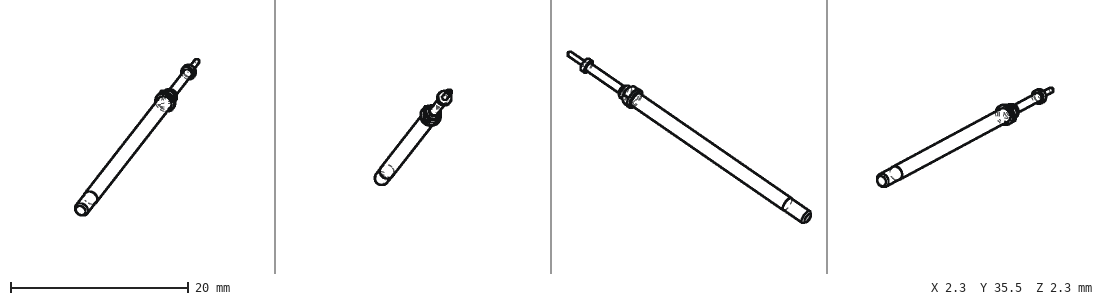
import cadquery as cq

total_length = 35.5
tip_collar_start = 2.5
tip_collar_end = 3.0
neck_end = 8.0
shoulder_start = 8.3
square_start = 8.7
stop_ring_start = 9.65
stop_ring_end = 10.0
tail_start = 32.5

tip_diameter = 0.6
tip_collar_diameter = 1.6
neck_diameter = 1.0
shank_diameter = 1.67
stop_ring_diameter = 2.3
tail_diameter = 1.6
shoulder_nose_diameter = 1.25

square_width = 1.67
square_chamfer_length = 0.3
tip_chamfer = 0.18
tail_taper_length = 0.25
tail_taper_depth = 0.2


def cylinder(start, end, diameter):
    """Round section between two stations measured from the tip."""
    section = cq.Workplane("XZ").circle(diameter / 2).extrude(end - start)
    return section.translate((0, total_length / 2 - start, 0))


def cone(start, end, start_diameter, end_diameter):
    """Tapered section between two stations measured from the tip."""
    solid = cq.Solid.makeCone(
        start_diameter / 2,
        end_diameter / 2,
        end - start,
        pnt=cq.Vector(0, total_length / 2 - start, 0),
        dir=cq.Vector(0, -1, 0),
    )
    return cq.Workplane(obj=solid)


def square_section():
    """Four wrench flats whose corners are turned to the stop ring diameter and coned at the front."""
    length = stop_ring_start - square_start
    block = cq.Workplane("XZ").rect(square_width, square_width).extrude(length)
    block = block.translate((0, total_length / 2 - square_start, 0))
    cone_end = square_start + square_chamfer_length
    envelope = cone(square_start, cone_end, shank_diameter, stop_ring_diameter)
    envelope = envelope.union(cylinder(cone_end, stop_ring_start, stop_ring_diameter))
    return block.intersect(envelope)


tip = cylinder(0, tip_collar_start, tip_diameter).faces(">Y").chamfer(tip_chamfer)
tip_collar = cylinder(tip_collar_start, tip_collar_end, tip_collar_diameter)
neck = cylinder(tip_collar_end, neck_end, neck_diameter)

shoulder_cone = cone(neck_end, shoulder_start, shoulder_nose_diameter, shank_diameter)
shoulder = cylinder(shoulder_start, square_start, shank_diameter)
stop_ring = cylinder(stop_ring_start, stop_ring_end, stop_ring_diameter)
shank = cylinder(stop_ring_end, tail_start, shank_diameter)
tail_taper_start = total_length - tail_taper_length
tail = cylinder(tail_start, tail_taper_start, tail_diameter)
tail_end_diameter = tail_diameter - 2 * tail_taper_depth
tail_taper = cone(tail_taper_start, total_length, tail_diameter, tail_end_diameter)

plunger = tip.union(tip_collar).union(neck)
receptacle = shoulder_cone.union(shoulder).union(square_section()).union(stop_ring)
result = plunger.union(receptacle).union(shank).union(tail).union(tail_taper)